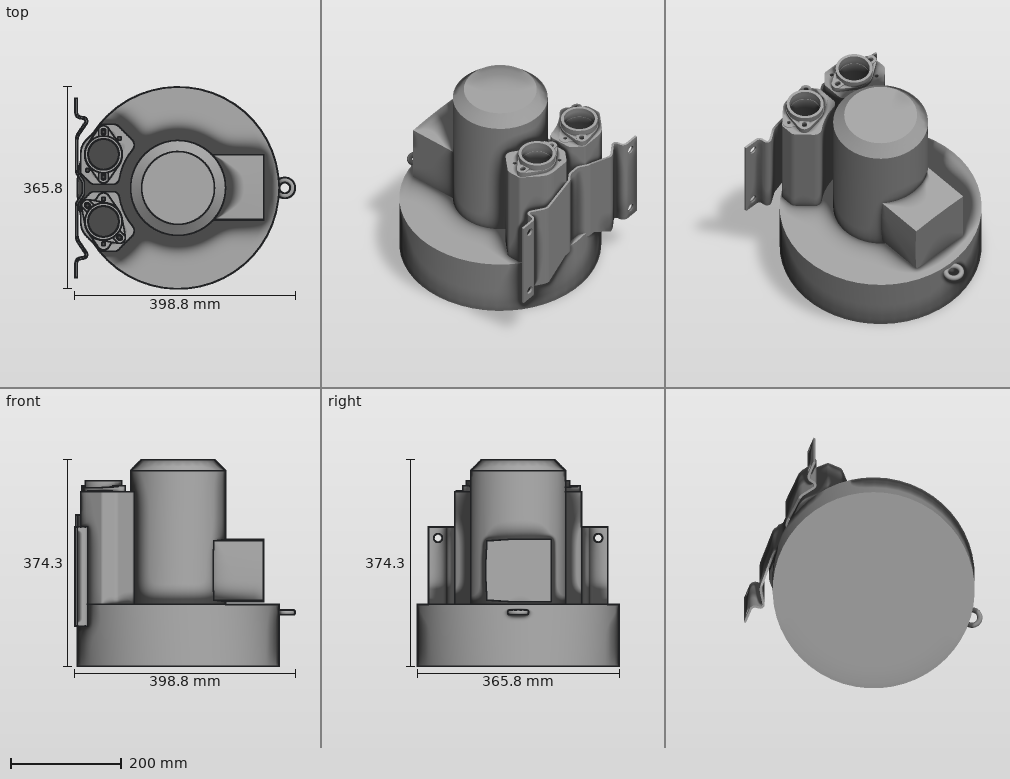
import cadquery as cq
import math

drum_radius = 182.9
drum_height = 112.0

motor_radius = 86.0
motor_bevel = 20.0
overall_height = 374.25

box_end_x = 154.7
box_near_y = -56.5
box_far_y = 59.8
box_near_height = 107.0
box_far_height = 112.2
box_bulge = 2.0
box_center_z = 173.4

eye_tip_x = 212.15
eye_wire_radius = 4.75
eye_ring_radius = 14.25
eye_z = 97.6

block_top = 316.3
block_outer_x = -176.3
block_inner_y = 6.5
block_outer_y = 115.0
block_lower_bevel = 20.0
block_front_corner_x = -138.1
block_back_corner_x = -111.0
motor_clearance_radius = 107.5
block_outer_fillet = 34.0
block_small_fillet = 6.0
block_large_fillet = 12.0
block_nose_fillet = 14.0

port_x = -135.0
port_y = 60.75
bolt_circle_radius = 40.7
ear_radius = 11.0
flange_disc_radius = 34.2
seat_thickness = 1.2
flange_disc_height = 7.0
ear_height = 10.7
wing_slope_start = 18.0
wing_end_height = 9.5
ear_pad_width = 18.0
ear_pad_start = 33.0
port_height = 20.0
tube_outer_radius = 33.4
tube_bore_radius = 28.2
block_bore_radius = 27.5
flange_slot_width = 9.0
flange_slot_length = 11.5
block_hole_diameter = 7.0
block_hole_depth = 20.0
seat_angle = 90.0
diagonal_hole_angle = 45.0

sheet_thickness = 4.2
bracket_half_width = 162.5
bracket_outer_x = -186.6
bracket_panel_x = -183.3
bracket_center_x = -171.5
bracket_ridge_x = -161.6
bracket_step_y = 128.5
bracket_ridge_y = 125.2
bracket_panel_outer_y = 93.2
bracket_panel_inner_y = 28.4
bracket_center_half_y = 11.5
bend_radii = (9.0, 6.0, 20.0, 12.0, 14.0)
bracket_bottom = 72.75
bracket_side_top = 252.5
bracket_center_top = 274.25
bracket_slope_outer_y = 88.7
bracket_top_slope_inner_y = 31.0
bracket_arch_half_width = 41.0
bracket_arch_z = 104.0
bracket_notch_half_width = 22.2
mount_hole_diameter = 15.0
mount_hole_y = 145.0
mount_hole_zs = (92.2, 232.2)


def make_drum():
    return cq.Workplane("XY").circle(drum_radius).extrude(drum_height)


def make_motor():
    body = cq.Workplane("XY").circle(motor_radius).extrude(overall_height)
    return body.faces(">Z").chamfer(motor_bevel)


def make_terminal_box():
    """Box along X with a flat +Y face; the top, bottom and -Y faces bow outwards."""
    near_z = box_near_height / 2
    far_z = box_far_height / 2
    middle_y = (box_near_y + box_far_y) / 2
    crown_z = (near_z + far_z) / 2 + box_bulge
    return (
        cq.Workplane("YZ", origin=(0, 0, box_center_z))
        .moveTo(box_near_y, -near_z)
        .threePointArc((middle_y, -crown_z), (box_far_y, -far_z))
        .lineTo(box_far_y, far_z)
        .threePointArc((middle_y, crown_z), (box_near_y, near_z))
        .threePointArc((box_near_y - box_bulge, 0), (box_near_y, -near_z))
        .close()
        .extrude(box_end_x)
    )


def make_eye():
    ring = cq.Solid.makeTorus(eye_ring_radius, eye_wire_radius)
    eye_x = eye_tip_x - eye_ring_radius - eye_wire_radius
    return cq.Workplane(ring).translate((eye_x, 0, eye_z))


def fillet_upright_edge(body, x, y, radius):
    """Round the vertical edge that passes nearest to (x, y)."""
    middle = (x, y, (drum_height + block_top) / 2)
    return body.edges(cq.selectors.NearestToPointSelector(middle)).fillet(radius)


def make_block():
    """Block on the +Y side: 45 degree bevels and a face concentric with the motor."""
    shoulder = (block_outer_x, block_outer_y - (block_front_corner_x - block_outer_x))
    front_corner = (block_front_corner_x, block_outer_y)
    back_corner = (block_back_corner_x, block_outer_y)
    bevel_sum = block_back_corner_x + block_outer_y
    nose_half_gap = math.sqrt(2 * motor_clearance_radius**2 - bevel_sum**2) / 2
    nose = (bevel_sum / 2 - nose_half_gap, bevel_sum / 2 + nose_half_gap)
    tail = (-math.sqrt(motor_clearance_radius**2 - block_inner_y**2), block_inner_y)
    mid_angle = (math.atan2(nose[1], nose[0]) + math.atan2(tail[1], tail[0])) / 2
    hollow = (motor_clearance_radius * math.cos(mid_angle), motor_clearance_radius * math.sin(mid_angle))
    bevel_end = (block_outer_x + block_lower_bevel, block_inner_y)
    bevel_start = (block_outer_x, block_inner_y + block_lower_bevel)

    body = (
        cq.Workplane("XY", origin=(0, 0, drum_height))
        .moveTo(*bevel_start)
        .lineTo(*shoulder)
        .lineTo(*front_corner)
        .lineTo(*back_corner)
        .lineTo(*nose)
        .threePointArc(hollow, tail)
        .lineTo(*bevel_end)
        .close()
        .extrude(block_top - drum_height)
    )
    rounded_corners = (
        (shoulder, block_outer_fillet),
        (front_corner, block_small_fillet),
        (back_corner, block_large_fillet),
        (nose, block_nose_fillet),
        (tail, block_large_fillet),
        (bevel_end, block_large_fillet),
        (bevel_start, block_small_fillet),
    )
    for (x, y), radius in rounded_corners:
        body = fillet_upright_edge(body, x, y, radius)
    return body


def ear_outline(height):
    """Plate with a central disc joined by tangent sides to two ears along X."""
    cos_t = (flange_disc_radius - ear_radius) / bolt_circle_radius
    sin_t = math.sqrt(1 - cos_t**2)
    disc_x = flange_disc_radius * cos_t
    disc_y = flange_disc_radius * sin_t
    ear_x = bolt_circle_radius + ear_radius * cos_t
    ear_y = ear_radius * sin_t
    tip_x = bolt_circle_radius + ear_radius
    return (
        cq.Workplane("XY")
        .moveTo(disc_x, disc_y)
        .threePointArc((0, flange_disc_radius), (-disc_x, disc_y))
        .lineTo(-ear_x, ear_y)
        .threePointArc((-tip_x, 0), (-ear_x, -ear_y))
        .lineTo(-disc_x, -disc_y)
        .threePointArc((0, -flange_disc_radius), (disc_x, -disc_y))
        .lineTo(ear_x, -ear_y)
        .threePointArc((tip_x, 0), (ear_x, ear_y))
        .close()
        .extrude(height)
    )


def bolt_holes(diameter, bottom, top):
    return (
        cq.Workplane("XY", origin=(0, 0, bottom))
        .pushPoints([(-bolt_circle_radius, 0), (bolt_circle_radius, 0)])
        .circle(diameter / 2)
        .extrude(top - bottom)
    )


def make_flange():
    """Flange with ears along X and its underside at Z = 0."""
    tip_x = bolt_circle_radius + ear_radius
    profile = (
        cq.Workplane("XZ")
        .polyline([
            (-tip_x, 0),
            (tip_x, 0),
            (tip_x, wing_end_height),
            (wing_slope_start, flange_disc_height),
            (-wing_slope_start, flange_disc_height),
            (-tip_x, wing_end_height),
        ])
        .close()
        .extrude(flange_disc_radius, both=True)
    )
    pad_length = tip_x - ear_pad_start
    pad_center = ear_pad_start + pad_length / 2
    pad_places = [(-pad_center, 0), (pad_center, 0)]
    pads = cq.Workplane("XY").pushPoints(pad_places).rect(pad_length, ear_pad_width).extrude(ear_height)
    plate = ear_outline(ear_height).intersect(profile.union(pads))

    tube = cq.Workplane("XY").circle(tube_outer_radius).extrude(port_height)
    tube = tube.intersect(
        cq.Workplane("XY").rect(2 * ear_pad_start, 2 * tube_outer_radius).extrude(port_height)
    )
    slots = (
        cq.Workplane("XY")
        .pushPoints([(-bolt_circle_radius, 0), (bolt_circle_radius, 0)])
        .slot2D(flange_slot_length, flange_slot_width)
        .extrude(ear_height)
    )
    bore = cq.Workplane("XY").circle(tube_bore_radius).extrude(port_height)
    return plate.union(tube).cut(slots).cut(bore)


def make_seat():
    """Thin plate under the flange, with its ears along X."""
    bore = cq.Workplane("XY").circle(tube_bore_radius).extrude(seat_thickness)
    holes = bolt_holes(block_hole_diameter, 0, seat_thickness)
    return ear_outline(seat_thickness).cut(holes).cut(bore)


def make_ported_block(side, flange_angle):
    """Block, seat and flange on the +Y (side = 1) or -Y (side = -1) side."""
    port_center = (port_x, side * port_y, block_top)

    def place(body, angle):
        return body.rotate((0, 0, 0), (0, 0, 1), angle).translate(port_center)

    block = make_block()
    if side < 0:
        block = block.mirror("XZ")
    holes = bolt_holes(block_hole_diameter, -block_hole_depth, seat_thickness)
    block = block.union(place(make_seat(), seat_angle)).union(place(make_flange(), flange_angle))
    passage = (
        cq.Workplane("XY", origin=(port_x, side * port_y, drum_height))
        .circle(block_bore_radius)
        .extrude(block_top - drum_height)
    )
    block = block.cut(place(holes, seat_angle))
    block = block.cut(place(holes, side * diagonal_hole_angle))
    return block.cut(passage)


def bent_center_line(path, radii):
    """Wire along a path with each inner corner bent to its radius."""
    segments = []
    start = cq.Vector(*path[0])
    for before, corner, after, radius in zip(path, path[1:], path[2:], radii):
        corner = cq.Vector(*corner)
        inward = (cq.Vector(*before) - corner).normalized()
        onward = (cq.Vector(*after) - corner).normalized()
        half_angle = inward.getAngle(onward) / 2
        setback = radius / math.tan(half_angle)
        bisector = (inward + onward).normalized()
        bend_start = corner + inward * setback
        bend_middle = corner + bisector * (radius / math.sin(half_angle) - radius)
        bend_end = corner + onward * setback
        segments.append(cq.Edge.makeLine(start, bend_start))
        segments.append(cq.Edge.makeThreePointArc(bend_start, bend_middle, bend_end))
        start = bend_end
    segments.append(cq.Edge.makeLine(start, cq.Vector(*path[-1])))
    return cq.Wire.assembleEdges(segments)


def make_bracket_sheet():
    """Full-height bent sheet."""
    half_path = [
        (bracket_outer_x + sheet_thickness / 2, bracket_half_width),
        (bracket_outer_x + sheet_thickness / 2, bracket_step_y),
        (bracket_ridge_x, bracket_ridge_y),
        (bracket_panel_x, bracket_panel_outer_y),
        (bracket_panel_x, bracket_panel_inner_y),
        (bracket_center_x, bracket_center_half_y),
    ]
    path = half_path + [(x, -y) for x, y in reversed(half_path)]
    center_line = bent_center_line(path, bend_radii + bend_radii[::-1])
    sheet_height = bracket_center_top - bracket_bottom
    section = (
        cq.Workplane("XZ", origin=(*path[0], bracket_bottom + sheet_height / 2))
        .rect(sheet_thickness, sheet_height)
    )
    return section.sweep(center_line)


def make_bracket():
    """Bent sheet trimmed to its outline across Y, with four mounting holes."""
    half_outline = [
        (bracket_half_width, bracket_bottom),
        (bracket_half_width, bracket_side_top),
        (bracket_slope_outer_y, bracket_side_top),
        (bracket_top_slope_inner_y, bracket_center_top),
    ]
    half_underside = [
        (bracket_notch_half_width, drum_height),
        (bracket_notch_half_width, bracket_arch_z),
        (bracket_arch_half_width, bracket_arch_z),
        (bracket_slope_outer_y, bracket_bottom),
    ]
    right_side = half_underside + half_outline
    left_side = [(-y, z) for y, z in reversed(right_side)]
    trim = cq.Workplane("YZ").polyline(right_side + left_side).close().extrude(bracket_outer_x)
    hole_places = [(side * mount_hole_y, z) for side in (-1, 1) for z in mount_hole_zs]
    holes = (
        cq.Workplane("YZ")
        .pushPoints(hole_places)
        .circle(mount_hole_diameter / 2)
        .extrude(bracket_outer_x)
    )
    return make_bracket_sheet().intersect(trim).cut(holes)


result = (
    make_drum()
    .union(make_motor())
    .union(make_terminal_box())
    .union(make_eye())
    .union(make_ported_block(1, seat_angle))
    .union(make_ported_block(-1, -diagonal_hole_angle))
    .union(make_bracket())
)